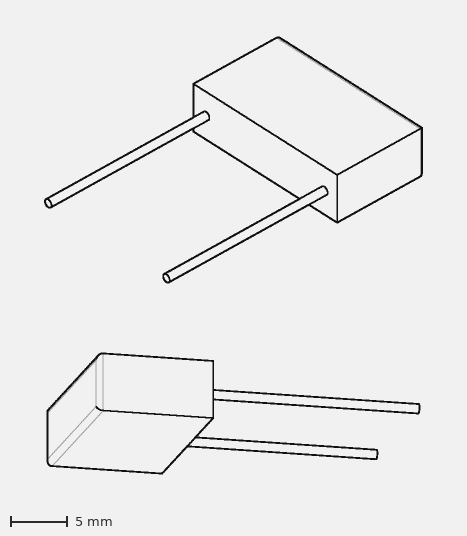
import cadquery as cq

total_length = 29.5
housing_width = 18.5
housing_depth = 10.5
housing_height = 5.22
back_edge_radius = 0.5

lead_diameter = 0.85
lead_pitch = 15.2
lead_length = total_length - housing_depth


def make_housing():
    """Box behind the plane Y = 0, centred on X and Z, with the four edges of its back face rounded."""
    box = cq.Workplane("XY").box(
        housing_width, housing_depth, housing_height, centered=(True, False, True)
    )
    return box.faces(">Y").edges().fillet(back_edge_radius)


def make_lead(x_position):
    """Round wire that runs forward from the front face of the housing."""
    front_face = cq.Workplane("XZ").center(x_position, 0)
    return front_face.circle(lead_diameter / 2).extrude(lead_length)


housing = make_housing()

leads = []
for side in (-1, 1):
    lead = make_lead(side * lead_pitch / 2)
    leads.append(lead.val())

result = cq.Compound.makeCompound([housing.val(), *leads])